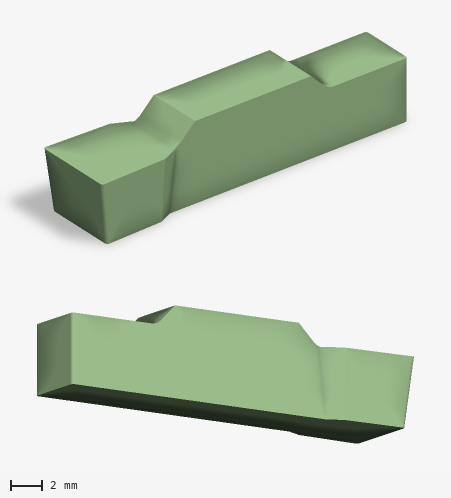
import cadquery as cq
import math

overall_length = 25.05
overall_height = 5.97
seat_height = 4.6
shank_width = 4.2

crest_front = 8.1
crest_rear = 17.35
ramp_angle = 45.0
ramp_foot_radius = 1.0

cutting_width = 6.01
knee_distance = 5.17
side_relief = 2.0
neck_angle = 26.0
neck_overlap = 0.5
front_clearance = 7.0
side_clearance = 2.75
neck_clearance = 7.0

corner_radius = 0.2
knee_radius = 0.15


def tan_deg(angle):
    return math.tan(math.radians(angle))


def head_outline(drop):
    """Closed outline of the head at a depth below the seat, after its faces have leaned in."""
    setback = drop * tan_deg(front_clearance)
    inset = drop * tan_deg(side_clearance)
    neck_inset = drop * tan_deg(neck_clearance) * tan_deg(neck_angle)
    relief = tan_deg(side_relief)
    knee_y = knee_distance - (neck_inset - inset) / (tan_deg(neck_angle) - relief)
    front_half = cutting_width / 2 - inset - setback * relief
    knee_half = cutting_width / 2 - inset - knee_y * relief
    end_half = shank_width / 2 - neck_overlap
    end_y = knee_y + (knee_half - end_half) / tan_deg(neck_angle)
    return [
        (-front_half, setback),
        (front_half, setback),
        (knee_half, knee_y),
        (end_half, end_y),
        (-end_half, end_y),
        (-knee_half, knee_y),
    ]


def make_head():
    """Cutting head that tapers towards the bottom, with rounded front corners and knees."""
    bottom = head_outline(seat_height)
    top = head_outline(0)
    head = (
        cq.Workplane("XY")
        .polyline(bottom)
        .close()
        .workplane(offset=seat_height)
        .polyline(top)
        .close()
        .loft(ruled=True)
    )
    head = head.edges("not(#Z)").edges("<Y").fillet(corner_radius)
    for side in (-1, 1):
        knee = cq.selectors.NearestToPointSelector((side * cutting_width / 2, knee_distance, seat_height / 2))
        head = head.edges(knee).fillet(knee_radius)
    return head


def make_shank():
    """Constant-width bar with a raised block between two ramps."""
    ramp_run = (overall_height - seat_height) / tan_deg(ramp_angle)
    ramp_foot_front = crest_front - ramp_run
    ramp_foot_rear = crest_rear + ramp_run
    start_y = knee_distance
    outline = [
        (start_y, 0),
        (overall_length, 0),
        (overall_length, seat_height),
        (ramp_foot_rear, seat_height),
        (crest_rear, overall_height),
        (crest_front, overall_height),
        (ramp_foot_front, seat_height),
        (start_y, seat_height),
    ]
    shank = cq.Workplane("YZ").polyline(outline).close().extrude(shank_width / 2, both=True)
    shank = shank.edges("|Z and >Y").fillet(corner_radius)
    for foot_y in (ramp_foot_front, ramp_foot_rear):
        foot_edge = cq.selectors.NearestToPointSelector((0, foot_y, seat_height))
        shank = shank.edges(foot_edge).fillet(ramp_foot_radius)
    return shank


result = make_head().union(make_shank()).clean()